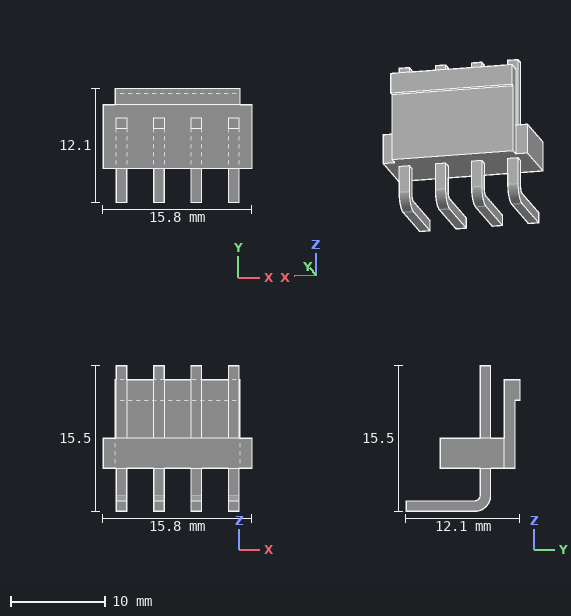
import cadquery as cq


base_length = 15.78
base_depth = 6.79
base_height = 3.2
base_bottom = 4.58

wall_length = 13.25
wall_thickness = 1.17
wall_top = 13.98
lip_depth = 1.7
lip_height = 2.2

pin_count = 4
pin_pitch = 3.96
pin_size = 1.14
pin_top = 15.46
pin_center_y = -1.99
bend_inner_radius = 0.57
overall_depth = 12.1
tail_end_y = lip_depth - overall_depth


def make_base():
    return cq.Workplane("XY").box(
        base_length, base_depth, base_height, centered=(True, False, False)
    ).translate((0, -base_depth, base_bottom))


def make_wall():
    lip_bottom = wall_top - lip_height
    profile = [
        (0, base_bottom),
        (wall_thickness, base_bottom),
        (wall_thickness, lip_bottom),
        (lip_depth, lip_bottom),
        (lip_depth, wall_top),
        (0, wall_top),
    ]
    return cq.Workplane("YZ").polyline(profile).close().extrude(wall_length / 2, both=True)


def make_pin(x):
    """L-shaped pin with concentric inner and outer bend radii."""
    rear_y = pin_center_y + pin_size / 2
    front_y = pin_center_y - pin_size / 2
    bend_outer_radius = bend_inner_radius + pin_size
    bend_center = (front_y - bend_inner_radius, bend_outer_radius)
    return (
        cq.Workplane("YZ", origin=(x, 0, 0))
        .moveTo(rear_y, pin_top)
        .lineTo(rear_y, bend_center[1])
        .radiusArc((bend_center[0], 0), bend_outer_radius)
        .lineTo(tail_end_y, 0)
        .lineTo(tail_end_y, pin_size)
        .lineTo(bend_center[0], pin_size)
        .radiusArc((front_y, bend_center[1]), -bend_inner_radius)
        .lineTo(front_y, pin_top)
        .close()
        .extrude(pin_size / 2, both=True)
    )


result = make_base().union(make_wall())
for index in range(pin_count):
    pin_x = (index - (pin_count - 1) / 2) * pin_pitch
    result = result.union(make_pin(pin_x))